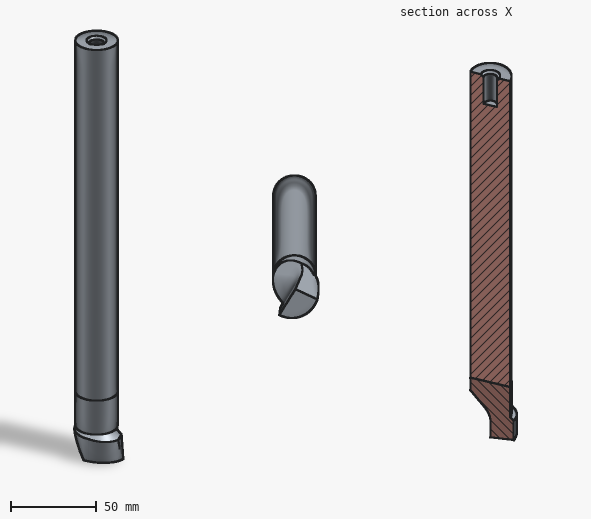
import cadquery as cq

total_length = 271.2
head_height = 41.2
shank_diameter = 25.0
head_diameter = 25.2
head_radius = head_diameter / 2

bore_diameter = 8.5
bore_mouth_diameter = 11.7
bore_depth = 21.7

nose_top = 19.0
nose_diameter = 29.5
nose_radius = nose_diameter / 2
nose_flat_left = 0.8
nose_flat_right = 2.2
nose_back = -nose_radius
tip_x = nose_flat_right + nose_radius

flank_foot_x = -1.0
flank_run = 9.2
flank_rise = 17.0
side_relief_height = 15.7
side_relief_inset = 1.0
end_relief_height = 2.2

gullet_top = 32.0
gullet_bend = (3.8, 22.0)
gullet_curve_mid = (1.4, 18.2)
rake_flat_top = 13.3

margin = 27.0


def make_shank():
    """Round shank with a countersunk blind bore in its free end."""
    shank = (
        cq.Workplane("XY")
        .workplane(offset=head_height)
        .circle(shank_diameter / 2)
        .extrude(total_length - head_height)
    )
    shank = shank.faces(">Z").workplane().hole(bore_diameter, bore_depth)
    mouth_radius = bore_mouth_diameter / 2
    bore_radius = bore_diameter / 2
    countersink = cq.Solid.makeCone(
        mouth_radius,
        bore_radius,
        mouth_radius - bore_radius,
        pnt=cq.Vector(0, 0, total_length),
        dir=cq.Vector(0, 0, -1),
    )
    return shank.cut(cq.Workplane(obj=countersink))


def make_nose():
    """Nose outline with a 45 degree conical shoulder and a relieved +X side."""
    outline = (
        cq.Workplane("XY")
        .moveTo(tip_x, 0)
        .radiusArc((nose_flat_right, nose_back), nose_radius)
        .lineTo(nose_flat_left, nose_back)
        .tangentArcPoint((-head_radius, 0), relative=False)
        .close()
        .extrude(nose_top)
    )
    shoulder = cq.Solid.makeCone(head_radius + nose_top, head_radius, nose_top)
    relief = (
        cq.Workplane("XZ")
        .moveTo(tip_x, 0)
        .lineTo(tip_x - side_relief_inset, side_relief_height)
        .lineTo(tip_x + margin, side_relief_height)
        .lineTo(tip_x + margin, 0)
        .close()
        .extrude(margin)
    )
    return outline.intersect(cq.Workplane(obj=shoulder)).cut(relief)


def make_flank_cutter():
    """Wedge that slopes the -X side of the nose."""
    top = 2 * flank_rise
    return (
        cq.Workplane("XZ")
        .moveTo(flank_foot_x, 0)
        .lineTo(flank_foot_x - 2 * flank_run, top)
        .lineTo(-margin, top)
        .lineTo(-margin, 0)
        .close()
        .extrude(margin, both=True)
    )


def make_gullet_cutter():
    """Sloped run-out that curves down into the rake flat."""
    slope = (gullet_top - gullet_bend[1]) / (head_radius - gullet_bend[0])
    return (
        cq.Workplane("YZ")
        .moveTo(0, 0)
        .lineTo(0, rake_flat_top)
        .threePointArc(gullet_curve_mid, gullet_bend)
        .lineTo(margin, gullet_top + slope * (margin - head_radius))
        .lineTo(margin, 0)
        .close()
        .extrude(margin, both=True)
    )


def make_end_relief_cutter():
    """Wedge that lifts the bottom face away behind the cutting edge."""
    return (
        cq.Workplane("YZ")
        .moveTo(0, 0)
        .lineTo(nose_back, end_relief_height)
        .lineTo(nose_back, 0)
        .close()
        .extrude(margin, both=True)
    )


def make_head():
    """Cutting head: round neck and nose, trimmed by gullet, flank and end relief."""
    neck = cq.Workplane("XY").circle(head_radius).extrude(head_height)
    head = neck.union(make_nose())
    head = head.cut(make_gullet_cutter())
    head = head.cut(make_flank_cutter())
    return head.cut(make_end_relief_cutter())


shank = make_shank()
head = make_head()

result = cq.Compound.makeCompound([shank.val(), head.val()])